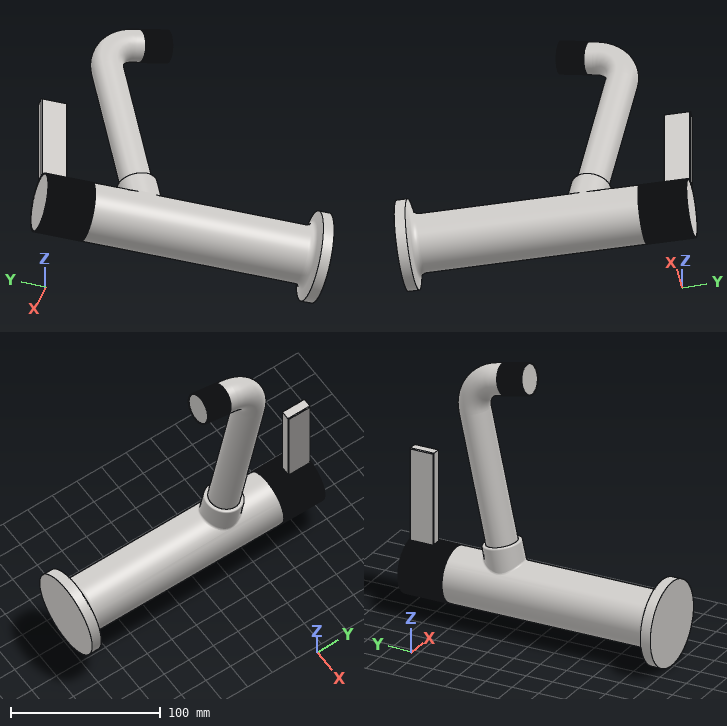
import cadquery as cq
import math

flange_diameter = 61.8
flange_radius = flange_diameter / 2
flange_rim = 7.5
flange_slope = 14.0
flange_fillet = 5.0
body_radius = 20.0
total_depth = 197.0

hub_length = 33.2
hub_teeth = 160
knurl_depth = 0.5

lever_top = 87.6
lever_width = 7.5
lever_depth = 18.0
lever_setback = 0.4
lever_chamfer = 0.5

spout_lean = 12.2
spout_root_y = 121.8
spout_radius = 11.1
straight_length = 128.5
bend_radius = 21.9
neck_length = 6.0
tip_length = 19.3
tip_teeth = 90

collar_radius = 14.0
collar_height = 32.8
collar_round = 1.2
collar_blend = 1.5


def knurled_cylinder(plane, radius, length, teeth):
    """Cylinder with straight V-shaped teeth, their crests on the given radius."""
    points = []
    for i in range(2 * teeth):
        angle = math.pi * i / teeth
        r = radius if i % 2 == 0 else radius - knurl_depth
        points.append((r * math.cos(angle), r * math.sin(angle)))
    return cq.Workplane(plane).polyline(points).close().extrude(length)


def flanged_body():
    """Flange, conical back and body tube as one turned profile."""
    slope = math.radians(flange_slope)
    cone_depth = (flange_radius - body_radius) * math.tan(slope)
    corner_y = flange_rim + cone_depth
    half_turn = (math.pi / 2 - slope) / 2
    tangent = flange_fillet * math.tan(half_turn)
    cone_end = (body_radius + tangent * math.cos(slope), corner_y - tangent * math.sin(slope))
    body_start = (body_radius, corner_y + tangent)
    middle_angle = math.pi + half_turn
    blend_middle = (
        body_radius + flange_fillet + flange_fillet * math.cos(middle_angle),
        body_start[1] + flange_fillet * math.sin(middle_angle),
    )
    body_end = total_depth - hub_length
    return (
        cq.Workplane("XY")
        .moveTo(0, 0)
        .lineTo(flange_radius, 0)
        .lineTo(flange_radius, flange_rim)
        .lineTo(*cone_end)
        .threePointArc(blend_middle, body_start)
        .lineTo(body_radius, body_end)
        .lineTo(0, body_end)
        .close()
        .revolve(360, (0, 0, 0), (0, 1, 0))
    )


def hub():
    plane = cq.Plane((0, total_depth - hub_length, 0), xDir=(1, 0, 0), normal=(0, 1, 0))
    return knurled_cylinder(plane, body_radius, hub_length, hub_teeth)


def lever():
    lever_y = total_depth - lever_setback - lever_depth / 2
    return (
        cq.Workplane("XY")
        .center(0, lever_y)
        .rect(lever_width, lever_depth)
        .extrude(lever_top)
        .edges("|Z or (>Z and |Y)")
        .chamfer(lever_chamfer)
    )


lean = math.radians(spout_lean)
along_straight = cq.Vector(0, math.sin(lean), math.cos(lean))
along_outlet = cq.Vector(0, -math.cos(lean), math.sin(lean))
spout_root = cq.Vector(0, spout_root_y, 0)
spout_plane = cq.Plane(spout_root, xDir=(1, 0, 0), normal=along_straight)


def collar():
    return (
        cq.Workplane(spout_plane)
        .circle(collar_radius)
        .extrude(collar_height)
        .faces(cq.selectors.DirectionMinMaxSelector(along_straight))
        .edges()
        .fillet(collar_round)
    )


def spout():
    """Straight tube, quarter bend, plain neck and knurled tip."""
    bend_start = spout_root + along_straight * straight_length
    bend_centre = bend_start + along_outlet * bend_radius
    bend_middle = bend_centre + (along_straight - along_outlet) * (bend_radius / math.sqrt(2))
    bend_end = bend_centre + along_straight * bend_radius
    neck_end = bend_end + along_outlet * neck_length
    path = cq.Wire.assembleEdges([
        cq.Edge.makeLine(spout_root, bend_start),
        cq.Edge.makeThreePointArc(bend_start, bend_middle, bend_end),
        cq.Edge.makeLine(bend_end, neck_end),
    ])
    tube = cq.Workplane(spout_plane).circle(spout_radius).sweep(cq.Workplane(path))
    tip_plane = cq.Plane(neck_end, xDir=(1, 0, 0), normal=along_outlet)
    return tube.union(knurled_cylinder(tip_plane, spout_radius, tip_length, tip_teeth))


def body_with_collar():
    """Body and collar joined, with the seam between them blended."""
    joined = flanged_body().union(collar())
    margin = 1.0
    seam_box = cq.selectors.BoxSelector(
        (-collar_radius - margin, spout_root_y - collar_radius, 0),
        (collar_radius + margin, spout_root_y + 2 * collar_radius, body_radius + margin),
        boundingbox=True,
    )
    return joined.edges(seam_box).fillet(collar_blend)


result = body_with_collar().union(hub()).union(lever()).union(spout())